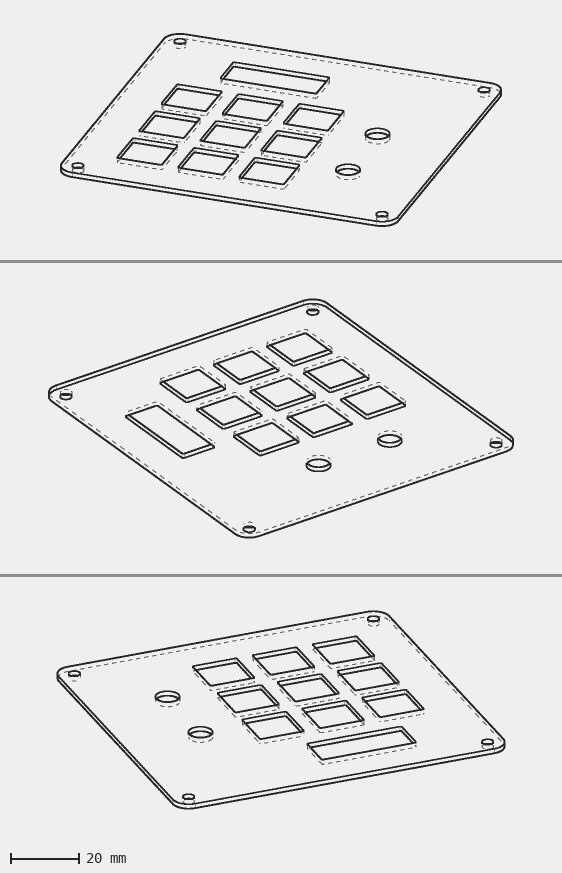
import cadquery as cq

plate_width = 105.0
plate_depth = 98.0
plate_thickness = 1.5
corner_radius = 5.0

screw_hole_diameter = 3.4
screw_spacing_x = plate_width - 2 * corner_radius
screw_spacing_y = plate_depth - 2 * corner_radius

key_size = 14.0
key_pitch = 19.05
key_columns = 3
key_rows = 3
key_grid_center = (-12.45, -9.2)

window_width = 30.0
window_height = 11.5
window_center = (-13.0, 30.6)

cutout_corner_radius = 0.5

control_hole_diameter = 7.1
control_x = 28.0
control_count = 2
control_pitch = 25.4
control_center_y = -6.8


def make_plate():
    """Flat plate with rounded corners, resting on Z = 0."""
    blank = cq.Workplane("XY").box(
        plate_width, plate_depth, plate_thickness, centered=(True, True, False)
    )
    return blank.edges("|Z").fillet(corner_radius)


def rounded_cutter(width, height, center):
    """Rectangular through-cutter with rounded corners."""
    block = cq.Workplane("XY").center(*center).rect(width, height).extrude(plate_thickness)
    return block.edges("|Z").fillet(cutout_corner_radius)


def cut_screw_holes(body):
    corners = cq.Workplane("XY").rect(screw_spacing_x, screw_spacing_y, forConstruction=True).vertices()
    return body.cut(corners.circle(screw_hole_diameter / 2).extrude(plate_thickness))


def cut_keys(body):
    for column in range(key_columns):
        for row in range(key_rows):
            x = key_grid_center[0] + (column - (key_columns - 1) / 2) * key_pitch
            y = key_grid_center[1] + (row - (key_rows - 1) / 2) * key_pitch
            body = body.cut(rounded_cutter(key_size, key_size, (x, y)))
    return body


def cut_window(body):
    return body.cut(rounded_cutter(window_width, window_height, window_center))


def cut_control_holes(body):
    centers = (
        cq.Workplane("XY")
        .center(control_x, control_center_y)
        .rarray(control_pitch, control_pitch, 1, control_count)
    )
    return body.cut(centers.circle(control_hole_diameter / 2).extrude(plate_thickness))


result = make_plate()
result = cut_screw_holes(result)
result = cut_keys(result)
result = cut_window(result)
result = cut_control_holes(result)